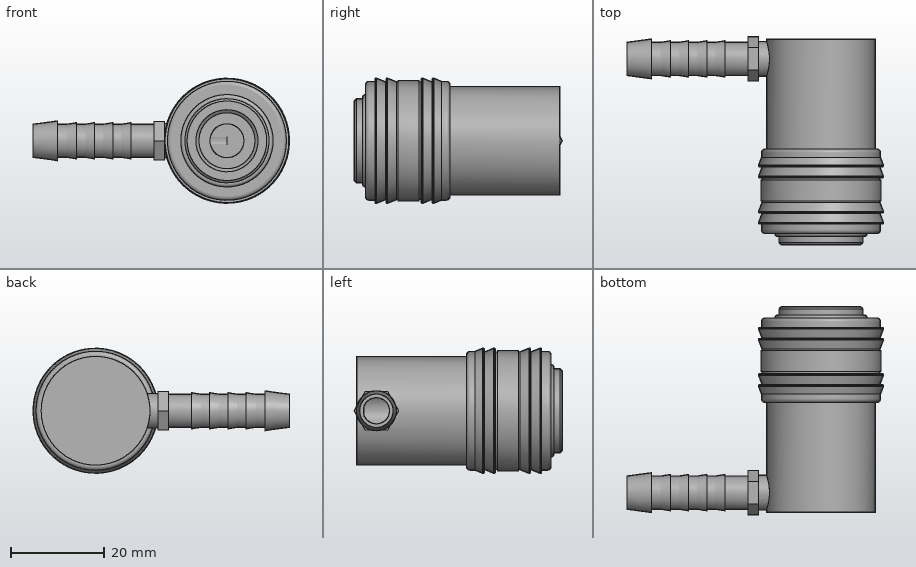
import cadquery as cq

OVERLAP = 0.1

BODY_RADIUS = 11.65
BODY_BACK = 44.05

NOSE_RADIUS = 9.0
NOSE_CHAMFER = 0.5
NECK_RADIUS = 9.9
NECK_ROUND = 0.6

SLEEVE_FRONT = 2.4
SLEEVE_BACK = 20.55
SLEEVE_RADIUS = 12.75
SLEEVE_FILLET = 0.8
GROOVE_RADIUS = 12.65
BAND_FRONT = 9.45
BAND_BACK = 13.9
BAND_RADIUS = 12.9

RIDGE_RADIUS = 13.4
RIDGE_LENGTH = 1.9
RIDGE_RIM = 0.4
RIDGE_CHAMFER = 0.15
RIDGE_PITCH = 2.35
RIDGE_PAIR_CRESTS = (4.85, 14.7)

MOUTH_RADIUS = 6.65
BORE_RADIUS = 6.0
BORE_DEPTH = SLEEVE_BACK
INNER_BORE_RADIUS = 3.6
INNER_BORE_DEPTH = 42.5

TAIL_Y = 39.8
TAIL_LENGTH = 41.5
TAIL_RADIUS = 3.55
TAIL_BORE_RADIUS = 2.8
TIP_BARB_RADIUS = 4.3
TIP_BARB_LENGTH = 5.25
BARB_RADIUS = 3.9
BARB_LENGTH = 2.05
BARB_PITCH = 3.9
BARB_COUNT = 4
FIRST_BARB_GAP = 2.0

HEX_ACROSS_CORNERS = 9.55
HEX_WIDTH = 2.3
HEX_START = 25.85
STUB_RADIUS = 3.75


def along_coupling(front, back, radius):
    """Cylinder on the coupling axis between two Y positions."""
    return cq.Workplane("XZ", origin=(0, front, 0)).circle(radius).extrude(front - back)


def turned_on_coupling(profile):
    """Revolve (radius, Y) points around the coupling axis."""
    return cq.Workplane("XY").polyline(profile).close().revolve(360, (0, 0, 0), (0, 1, 0))


def tail_cylinder(start, length, radius):
    """Cylinder on the hose axis, `start` away from the hose tip."""
    return cq.Workplane("YZ", origin=(start - TAIL_LENGTH, TAIL_Y, 0)).circle(radius).extrude(length)


def tail_barb(start, length, radius):
    """Cone that widens from the tube radius away from the hose tip."""
    end = start + length
    profile = [(start, 0), (start, TAIL_RADIUS), (end, radius), (end, 0)]
    barb = cq.Workplane("XY").polyline(profile).close().revolve(360, (0, 0, 0), (1, 0, 0))
    return barb.translate((-TAIL_LENGTH, TAIL_Y, 0))


def grip_ridge(crest):
    """Tapered ridge whose widest edge lies at Y = crest."""
    rim_front = crest - RIDGE_RIM
    return turned_on_coupling([
        (0, rim_front),
        (RIDGE_RADIUS - RIDGE_CHAMFER, rim_front),
        (RIDGE_RADIUS, rim_front + RIDGE_CHAMFER),
        (RIDGE_RADIUS, crest),
        (GROOVE_RADIUS, crest + RIDGE_LENGTH),
        (0, crest + RIDGE_LENGTH),
    ])


def make_nose():
    nose = along_coupling(0, SLEEVE_FRONT + OVERLAP, NOSE_RADIUS)
    nose = nose.faces("<Y").edges().chamfer(NOSE_CHAMFER)
    neck = along_coupling(SLEEVE_FRONT - NECK_ROUND, SLEEVE_FRONT + OVERLAP, NECK_RADIUS)
    neck = neck.faces("<Y").edges().fillet(NECK_ROUND)
    return nose.union(neck)


def make_sleeve():
    front_ridge_rim = RIDGE_PAIR_CRESTS[0] - RIDGE_RIM
    back_ridge_crest = RIDGE_PAIR_CRESTS[1] + RIDGE_PITCH
    sleeve = along_coupling(SLEEVE_FRONT, SLEEVE_BACK, GROOVE_RADIUS)
    front_end = along_coupling(SLEEVE_FRONT, front_ridge_rim + OVERLAP, SLEEVE_RADIUS)
    back_end = along_coupling(back_ridge_crest, SLEEVE_BACK, SLEEVE_RADIUS)
    sleeve = sleeve.union(front_end).union(back_end)
    sleeve = sleeve.faces("<Y or >Y").edges().fillet(SLEEVE_FILLET)
    sleeve = sleeve.union(along_coupling(BAND_FRONT, BAND_BACK, BAND_RADIUS))
    for pair_crest in RIDGE_PAIR_CRESTS:
        for crest in (pair_crest, pair_crest + RIDGE_PITCH):
            sleeve = sleeve.union(grip_ridge(crest))
    return sleeve


def make_tail():
    tube_start = TIP_BARB_LENGTH - OVERLAP
    tube_end = HEX_START + OVERLAP
    tail = tail_cylinder(tube_start, tube_end - tube_start, TAIL_RADIUS)
    tail = tail.union(tail_barb(0, TIP_BARB_LENGTH, TIP_BARB_RADIUS))
    for i in range(BARB_COUNT):
        start = TIP_BARB_LENGTH + FIRST_BARB_GAP + i * BARB_PITCH
        tail = tail.union(tail_barb(start, BARB_LENGTH, BARB_RADIUS))
    nut = cq.Workplane("YZ", origin=(HEX_START - TAIL_LENGTH, TAIL_Y, 0))
    nut = nut.polygon(6, HEX_ACROSS_CORNERS).extrude(HEX_WIDTH)
    stub = tail_cylinder(HEX_START, TAIL_LENGTH - HEX_START, STUB_RADIUS)
    return tail.union(nut).union(stub)


def make_bores():
    """Chamfered main bore, narrower inner bore and the hose passage."""
    mouth_chamfer = MOUTH_RADIUS - BORE_RADIUS
    main_bore = turned_on_coupling([
        (0, 0),
        (MOUTH_RADIUS, 0),
        (BORE_RADIUS, mouth_chamfer),
        (BORE_RADIUS, BORE_DEPTH),
        (0, BORE_DEPTH),
    ])
    inner_bore = along_coupling(0, INNER_BORE_DEPTH, INNER_BORE_RADIUS)
    hose_passage = tail_cylinder(0, TAIL_LENGTH, TAIL_BORE_RADIUS)
    return main_bore.union(inner_bore).union(hose_passage)


body = along_coupling(SLEEVE_FRONT, BODY_BACK, BODY_RADIUS)
result = body.union(make_nose()).union(make_sleeve()).union(make_tail()).cut(make_bores())